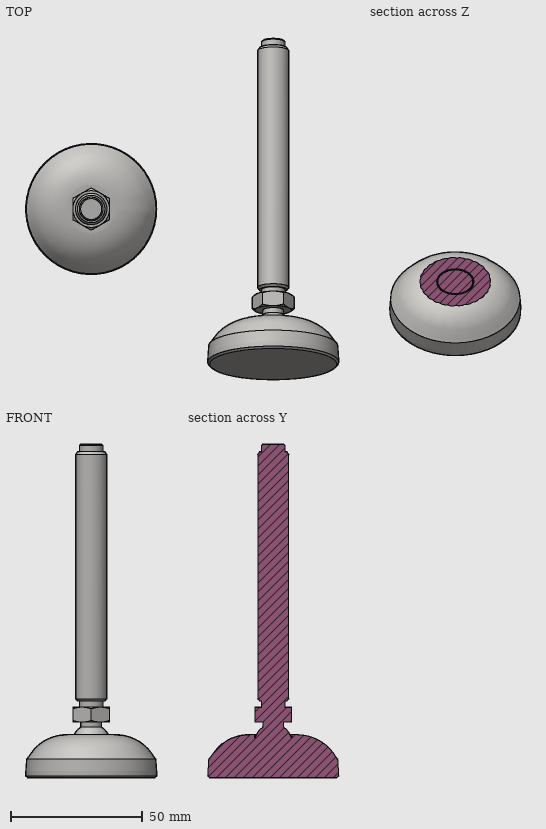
import cadquery as cq
import math

pad_bevel_top = 0.8
pad_lip_top = 2.5
pad_top = 7.1
dome_base = 7.9
dome_top = 16.5
neck_base = 19.3
hex_base = 21.2
hex_top = 27.0
thread_base = 29.3
thread_top = 124.4
total_height = 127.2

foot_radius = 50.0 / 2
pad_bevel = 0.8
pad_top_radius = 24.7
dome_base_radius = 24.0
dome_flat_radius = 9.2
socket_radius = 14.0 / 2
socket_depth = 1.3

ball_radius = 14.5 / 2
neck_radius = 8.0 / 2
thread_radius = 12.0 / 2
relief_radius = 9.0 / 2
tip_bevel = 0.5

thread_end_radius = 5.2
thread_base_bevel_height = 0.9
thread_top_bevel_height = 1.1

hex_across_flats = 14.0
hex_bevel_angle = 30.0


def make_foot():
    """Tapered pad under a dome whose arc runs tangent into the flat top."""
    run = dome_base_radius - dome_flat_radius
    drop = dome_top - dome_base
    dome_arc_radius = (run**2 + drop**2) / (2 * drop)
    half_sweep = math.asin(run / dome_arc_radius) / 2
    dome_middle = (
        dome_flat_radius + dome_arc_radius * math.sin(half_sweep),
        dome_top - dome_arc_radius * (1 - math.cos(half_sweep)),
    )
    return (
        cq.Workplane("XZ")
        .lineTo(foot_radius - pad_bevel, 0)
        .lineTo(foot_radius, pad_bevel_top)
        .lineTo(foot_radius, pad_lip_top)
        .lineTo(pad_top_radius, pad_top)
        .lineTo(dome_base_radius, dome_base)
        .threePointArc(dome_middle, (dome_flat_radius, dome_top))
        .lineTo(0, dome_top)
        .close()
        .revolve(360, (0, 0, 0), (0, 1, 0))
    )


def make_cylinder(radius, bottom, top):
    return cq.Workplane("XY").workplane(offset=bottom).circle(radius).extrude(top - bottom)


def make_ball():
    """Ball seated in the foot, meeting the neck at the neck radius."""
    center_height = neck_base - math.sqrt(ball_radius**2 - neck_radius**2)
    return cq.Workplane("XY").sphere(ball_radius).translate((0, 0, center_height))


def make_hexagon():
    """Hexagon with two flats facing X and its corners bevelled at both ends."""
    flat_radius = hex_across_flats / 2
    corner_radius = flat_radius / math.cos(math.pi / 6)
    bevel_height = (corner_radius - flat_radius) * math.tan(math.radians(hex_bevel_angle))
    prism = (
        cq.Workplane("XY")
        .workplane(offset=hex_base)
        .transformed(rotate=(0, 0, 30))
        .polygon(6, 2 * corner_radius)
        .extrude(hex_top - hex_base)
    )
    bevel_envelope = (
        cq.Workplane("XZ")
        .moveTo(0, hex_base)
        .lineTo(flat_radius, hex_base)
        .lineTo(corner_radius, hex_base + bevel_height)
        .lineTo(corner_radius, hex_top - bevel_height)
        .lineTo(flat_radius, hex_top)
        .lineTo(0, hex_top)
        .close()
        .revolve(360, (0, 0, 0), (0, 1, 0))
    )
    return prism.intersect(bevel_envelope)


def make_thread():
    """Plain cylinder at the thread's outer size, bevelled at both ends."""
    return (
        cq.Workplane("XZ")
        .moveTo(0, thread_base)
        .lineTo(thread_end_radius, thread_base)
        .lineTo(thread_radius, thread_base + thread_base_bevel_height)
        .lineTo(thread_radius, thread_top - thread_top_bevel_height)
        .lineTo(thread_end_radius, thread_top)
        .lineTo(0, thread_top)
        .close()
        .revolve(360, (0, 0, 0), (0, 1, 0))
    )


socket = make_cylinder(socket_radius, dome_top - socket_depth, dome_top)
neck = make_cylinder(neck_radius, neck_base, hex_base)
relief = make_cylinder(relief_radius, hex_top, thread_base)
tip = make_cylinder(relief_radius, thread_top, total_height).faces(">Z").chamfer(tip_bevel)

result = (
    make_foot()
    .cut(socket)
    .union(make_ball())
    .union(neck)
    .union(make_hexagon())
    .union(relief)
    .union(make_thread())
    .union(tip)
)